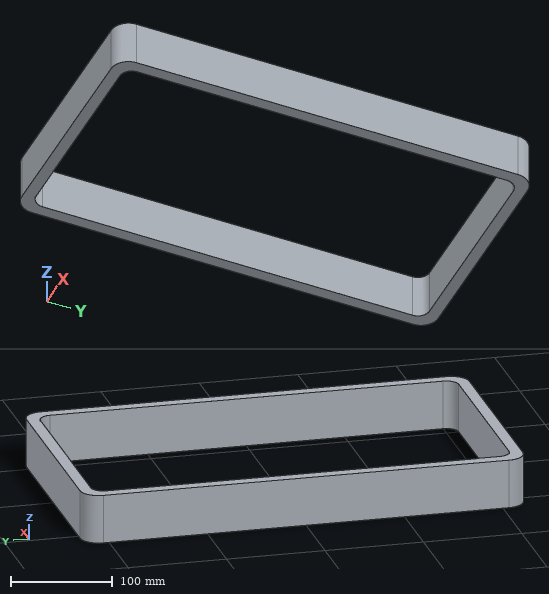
import cadquery as cq

width = 250.0
length = 450.0
height = 50.0
wall = 12.5
outer_corner_radius = 19.0
inner_corner_radius = 12.5


def rounded_block(size_x, size_y, corner_radius):
    """Full-height block with rounded vertical edges."""
    block = cq.Workplane("XY").box(size_x, size_y, height, centered=(True, True, False))
    return block.edges("|Z").fillet(corner_radius)


outer_block = rounded_block(width, length, outer_corner_radius)
opening = rounded_block(width - 2 * wall, length - 2 * wall, inner_corner_radius)

result = outer_block.cut(opening)